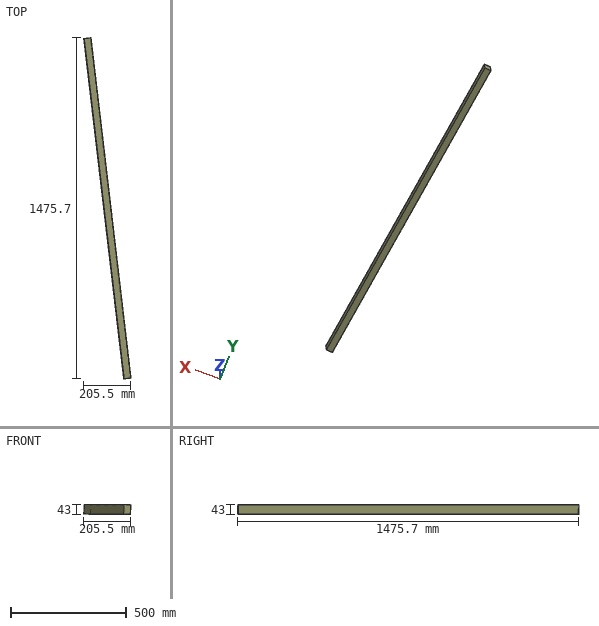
import cadquery as cq

bar_length = 1482.0
bar_width = 30.0
bar_height = 41.0
turn_angle = 6.7
roll_angle = 4.0

bar = cq.Workplane("XY").box(bar_width, bar_length, bar_height)
rolled_bar = bar.rotate((0, 0, 0), (0, 1, 0), roll_angle)
result = rolled_bar.rotate((0, 0, 0), (0, 0, 1), turn_angle)